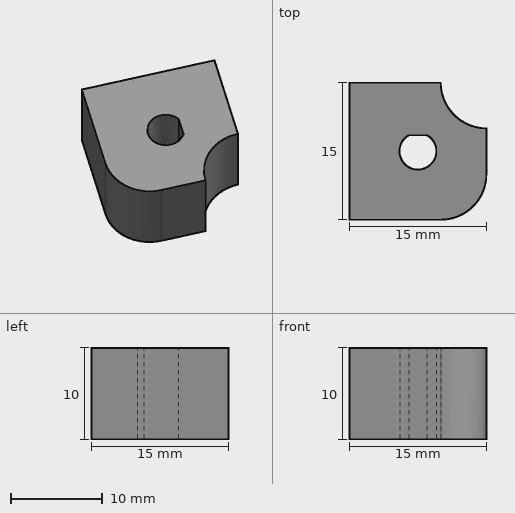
import cadquery as cq

side = 15.0
height = 10.0
corner_radius = side / 3

hole_diameter = 4.0
flat_distance = 1.74

half_side = side / 2


def d_shaped_cutter():
    """Round bar with its +Y side sliced off at the flat."""
    hole_radius = hole_diameter / 2
    bar = cq.Workplane("XY").circle(hole_radius).extrude(height)
    keep_depth = hole_radius + flat_distance
    keep = (
        cq.Workplane("XY")
        .center(0, flat_distance - keep_depth / 2)
        .rect(hole_diameter, keep_depth)
        .extrude(height)
    )
    return bar.intersect(keep)


block = cq.Workplane("XY").rect(side, side).extrude(height)

block = block.edges("|Z").edges(cq.selectors.NearestToPointSelector((half_side, -half_side, height / 2)))
block = block.fillet(corner_radius)

scoop = cq.Workplane("XY").center(half_side, half_side).circle(corner_radius).extrude(height)

result = block.cut(scoop).cut(d_shaped_cutter())